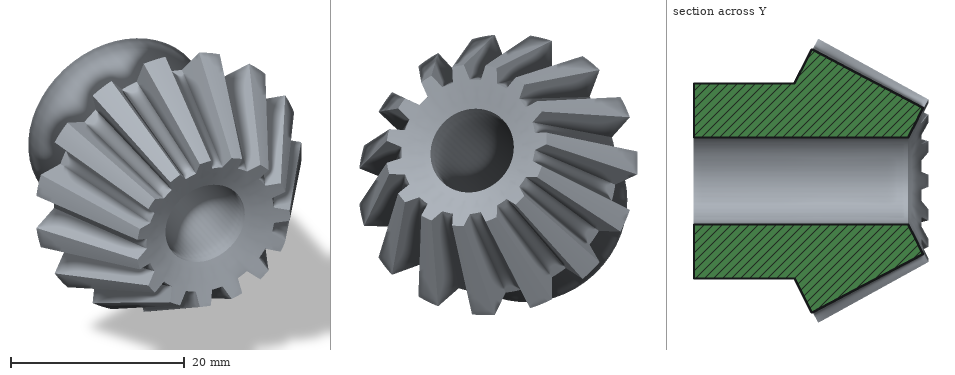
import cadquery as cq
import math

tooth_count = 15
total_length = 27.0
bore_radius = 5.0
hub_radius = 11.25
hub_length = 11.55

heel_tip_x = 14.35
heel_tip_radius = 16.8
toe_tip_radius = 9.65
heel_root_radius = 13.77
toe_root_radius = 8.05

heel_gap_root_angle = 4.0
heel_gap_tip_angle = 7.3
toe_gap_root_angle = 4.7
toe_gap_tip_angle = 7.8

cutter_start_x = hub_length - 1.0
cutter_end_x = total_length + 1.0
flank_overrun = 0.4

back_slope = (heel_tip_radius - hub_radius) / (heel_tip_x - hub_length)
heel_root_x = hub_length + (heel_root_radius - hub_radius) / back_slope
toe_root_x = total_length - (toe_tip_radius - toe_root_radius) / back_slope
toe_bore_x = total_length - (toe_tip_radius - bore_radius) / back_slope


def between(start, end, fraction):
    """Point on the line from start to end, also beyond either end."""
    return tuple(a + fraction * (b - a) for a, b in zip(start, end))


def point_at_x(start, end, x):
    return between(start, end, (x - start[0]) / (end[0] - start[0]))


def edge_point(x, radius, angle):
    """Corner of a tooth gap centred on the XZ plane."""
    return (x, radius * math.sin(math.radians(angle)), radius * math.cos(math.radians(angle)))


def revolve_about_x(profile):
    return cq.Workplane("XY").polyline(profile).close().revolve(360, (0, 0, 0), (1, 0, 0))


def make_blank():
    return revolve_about_x([
        (0, bore_radius),
        (0, hub_radius),
        (hub_length, hub_radius),
        (heel_tip_x, heel_tip_radius),
        (total_length, toe_tip_radius),
        (toe_bore_x, bore_radius),
    ])


def make_root_cone():
    heel_root = (heel_root_x, heel_root_radius)
    toe_root = (toe_root_x, toe_root_radius)
    return revolve_about_x([
        (cutter_start_x, 0),
        point_at_x(heel_root, toe_root, cutter_start_x),
        point_at_x(heel_root, toe_root, cutter_end_x),
        (cutter_end_x, 0),
    ])


def gap_section(x):
    """Tapered cross-section of one gap on the plane at the given x."""
    root = point_at_x(
        edge_point(heel_root_x, heel_root_radius, heel_gap_root_angle),
        edge_point(toe_root_x, toe_root_radius, toe_gap_root_angle),
        x,
    )
    tip = point_at_x(
        edge_point(heel_tip_x, heel_tip_radius, heel_gap_tip_angle),
        edge_point(total_length, toe_tip_radius, toe_gap_tip_angle),
        x,
    )
    _, inner_y, inner_z = between(root, tip, -flank_overrun)
    _, outer_y, outer_z = between(root, tip, 1 + flank_overrun)
    return cq.Wire.makePolygon([
        cq.Vector(x, -inner_y, inner_z),
        cq.Vector(x, inner_y, inner_z),
        cq.Vector(x, outer_y, outer_z),
        cq.Vector(x, -outer_y, outer_z),
    ], close=True)


def make_gap_cutter():
    wedge = cq.Solid.makeLoft([gap_section(cutter_start_x), gap_section(cutter_end_x)], True)
    return cq.Workplane(wedge).cut(make_root_cone())


result = make_blank()
gap_cutter = make_gap_cutter()
gap_pitch = 360 / tooth_count
first_gap_angle = 90
for index in range(tooth_count):
    angle = first_gap_angle + index * gap_pitch
    result = result.cut(gap_cutter.rotate((0, 0, 0), (1, 0, 0), angle))